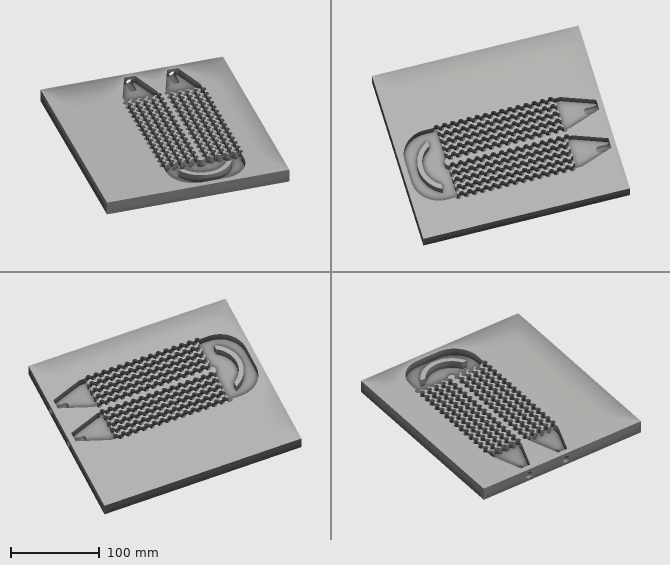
import cadquery as cq
import math

PLATE_LENGTH = 241.3
PLATE_WIDTH = 215.9
PLATE_THICKNESS = 15.875
BANK_AXIS_OFFSET = 20.64
POCKET_DEPTH = 9.525
EDGE_MARGIN = 6.35

SCALLOP_RADIUS = 3.175
SCALLOP_PITCH = 9.525
SCALLOP_COUNT = 15
SCALLOP_START = 50.8
CHANNEL_COUNT = 5
CHANNEL_WIDTH = 3.175
RIB_WIDTH = 6.35
CENTRE_RIB_WIDTH = 9.525

INLET_WIDTH = 12.7
FUNNEL_END = 44.45
PORT_DIAMETER = 8.5
PORT_DEPTH = 22.225
PORT_END_FILLET = 3.175

BEND_RADIUS = 31.75
VANE_OUTER_RADIUS = 35.5
VANE_INNER_RADIUS = 30.0
VANE_START = 203.2

POCKET_FLOOR = PLATE_THICKNESS - POCKET_DEPTH
ROW_PITCH = CHANNEL_WIDTH + RIB_WIDTH
INNER_WALL = CENTRE_RIB_WIDTH / 2
OUTER_WALL = INNER_WALL + CHANNEL_COUNT * ROW_PITCH - RIB_WIDTH
INLET_Y = (INNER_WALL + OUTER_WALL) / 2
RIB_END = SCALLOP_START + (SCALLOP_COUNT - 0.5) * SCALLOP_PITCH
NOSE_X = SCALLOP_START + (SCALLOP_COUNT - 1) * SCALLOP_PITCH + SCALLOP_RADIUS
POCKET_END = PLATE_LENGTH - EDGE_MARGIN


def floor_plane(x=0):
    """Workplane on the pocket floor, with its origin on the mirror line at x."""
    return cq.Workplane("XY", origin=(x, 0, POCKET_FLOOR))


def bank_outline():
    """Upper half of the pocket, without ribs: funnel, bank and half the return bend."""
    bend_x = POCKET_END - BEND_RADIUS
    bend_y = OUTER_WALL - BEND_RADIUS
    bend_reach = BEND_RADIUS * math.sqrt(0.5)
    return (
        floor_plane()
        .moveTo(EDGE_MARGIN, INLET_Y - INLET_WIDTH / 2)
        .lineTo(EDGE_MARGIN, INLET_Y + INLET_WIDTH / 2)
        .lineTo(FUNNEL_END, OUTER_WALL)
        .lineTo(bend_x, OUTER_WALL)
        .threePointArc((bend_x + bend_reach, bend_y + bend_reach), (POCKET_END, bend_y))
        .lineTo(POCKET_END, 0)
        .lineTo(NOSE_X, 0)
        .lineTo(NOSE_X, INNER_WALL)
        .lineTo(FUNNEL_END, INNER_WALL)
        .close()
        .extrude(POCKET_DEPTH)
    )


def ribs():
    """Straight ribs between the channels of one bank."""
    length = RIB_END - SCALLOP_START
    centres = []
    for index in range(1, CHANNEL_COUNT):
        centre_y = INNER_WALL + index * ROW_PITCH - RIB_WIDTH / 2
        centres.append((SCALLOP_START + length / 2, centre_y))
    return floor_plane().pushPoints(centres).rect(length, RIB_WIDTH).extrude(POCKET_DEPTH)


def scallops(first_x, first_y):
    """Grid of round scallops along one wall of every channel in a bank."""
    centres = []
    for row in range(CHANNEL_COUNT):
        for column in range(SCALLOP_COUNT):
            centres.append((first_x + column * SCALLOP_PITCH, first_y + row * ROW_PITCH))
    return floor_plane().pushPoints(centres).circle(SCALLOP_RADIUS).extrude(POCKET_DEPTH)


def centre_nose():
    """Round end of the centre rib."""
    return floor_plane(NOSE_X).circle(CENTRE_RIB_WIDTH / 2).extrude(POCKET_DEPTH)


def vane():
    """Curved guide vane in the return bend, concentric with the nose of the centre rib."""
    ring = (
        floor_plane(NOSE_X)
        .circle(VANE_OUTER_RADIUS)
        .circle(VANE_INNER_RADIUS)
        .extrude(POCKET_DEPTH)
    )
    bend_side = (
        floor_plane(VANE_START + VANE_OUTER_RADIUS / 2)
        .rect(VANE_OUTER_RADIUS, 2 * VANE_OUTER_RADIUS)
        .extrude(POCKET_DEPTH)
    )
    return ring.intersect(bend_side)


def port():
    """Blind hole with a rounded end, drilled from the inlet edge at mid thickness."""
    return (
        cq.Workplane("YZ", origin=(0, INLET_Y, PLATE_THICKNESS / 2))
        .circle(PORT_DIAMETER / 2)
        .extrude(PORT_DEPTH)
        .faces(">X")
        .edges()
        .fillet(PORT_END_FILLET)
    )


def bank_cutter():
    """Everything removed from the plate for the upper bank."""
    pocket = bank_outline().cut(ribs()).cut(centre_nose()).cut(vane())
    inner_scallops = scallops(SCALLOP_START, INNER_WALL)
    outer_scallops = scallops(SCALLOP_START + SCALLOP_PITCH / 2, INNER_WALL + CHANNEL_WIDTH)
    return pocket.union(inner_scallops).union(outer_scallops).union(port())


plate = (
    cq.Workplane("XY", origin=(PLATE_LENGTH / 2, -BANK_AXIS_OFFSET, 0))
    .rect(PLATE_LENGTH, PLATE_WIDTH)
    .extrude(PLATE_THICKNESS)
)
upper_cutter = bank_cutter()
result = plate.cut(upper_cutter).cut(upper_cutter.mirror("XZ"))